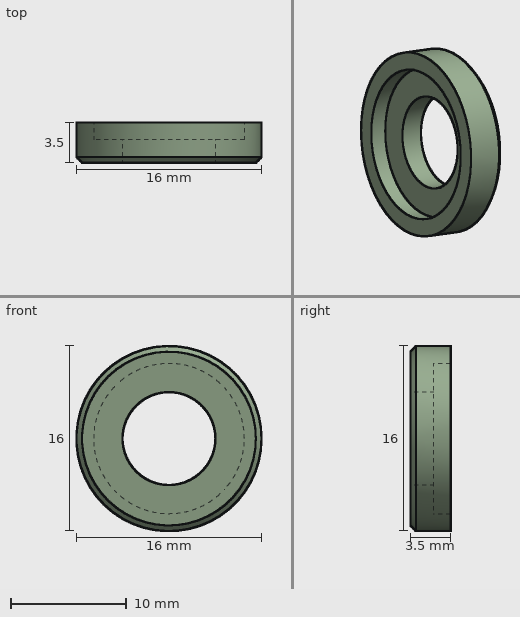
import cadquery as cq

outer_diameter = 16.0
bore_diameter = 8.0
thickness = 3.5
rim_chamfer = 0.5
floor_thickness = 2.0
recess_wall = 1.5

recess_diameter = outer_diameter - 2 * recess_wall
recess_depth = thickness - floor_thickness


def disc(diameter, height):
    return cq.Workplane("XZ").circle(diameter / 2).extrude(height)


def make_washer():
    body = disc(outer_diameter, thickness).faces("<Y").chamfer(rim_chamfer)
    bore = disc(bore_diameter, thickness)
    recess = disc(recess_diameter, recess_depth)
    return body.cut(bore).cut(recess)


result = make_washer()